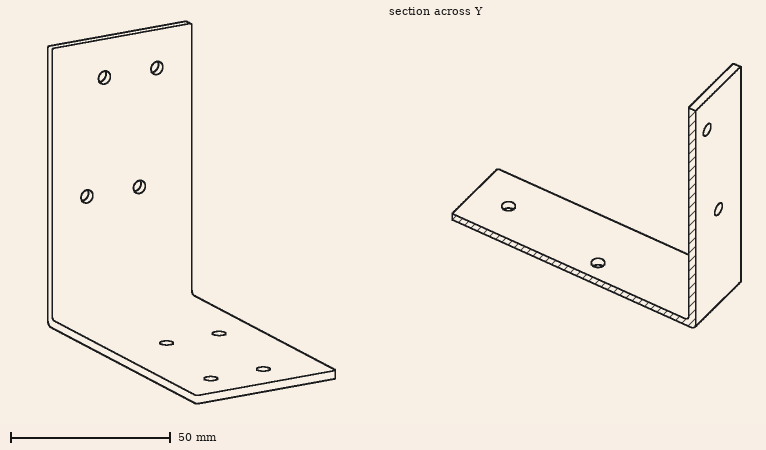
import cadquery as cq

leg_length = 92.1
width = 50.8
thickness = 2.8

inner_bend_radius = 1.4
outer_bend_radius = 2.0
corner_radius = 0.7

hole_diameter = 4.2
pair_spacing = 19.1
pair_stagger = 6.35
near_row = 41.25
far_row = near_row + 2 * pair_spacing


def pair_positions(row, pair_center):
    """Return (distance along leg, Y) for both holes of one pair."""
    return [(row, pair_center + side * pair_spacing / 2) for side in (-1, 1)]


def hole_pattern(near_pair_center):
    """Return the four hole places; the two pairs are offset to opposite sides."""
    near_pair = pair_positions(near_row, near_pair_center)
    far_pair = pair_positions(far_row, -near_pair_center)
    return near_pair + far_pair


def make_leg():
    """Flat plate in XY from X = 0, with its free corners rounded."""
    plate = cq.Workplane("XY").box(leg_length, width, thickness, centered=(False, True, False))
    return plate.edges("|Z and >X").fillet(corner_radius)


def hole_cutters(positions):
    """Round cutters passing through a leg lying in XY."""
    return cq.Workplane("XY").pushPoints(positions).circle(hole_diameter / 2).extrude(thickness)


def stand_up(body):
    """Swap X and Z, turning a flat leg into the upright one."""
    return body.rotate((0, 0, 0), (1, 0, 1), 180).mirror("XZ")


bracket = make_leg().union(stand_up(make_leg()))

inner_edge = cq.selectors.NearestToPointSelector((thickness, 0, thickness))
bracket = bracket.edges("|Y").edges(inner_edge).fillet(inner_bend_radius)
outer_edge = cq.selectors.NearestToPointSelector((0, 0, 0))
bracket = bracket.edges("|Y").edges(outer_edge).fillet(outer_bend_radius)

stagger = pair_stagger / 2
bracket = bracket.cut(hole_cutters(hole_pattern(stagger)))
bracket = bracket.cut(stand_up(hole_cutters(hole_pattern(-stagger))))

result = bracket